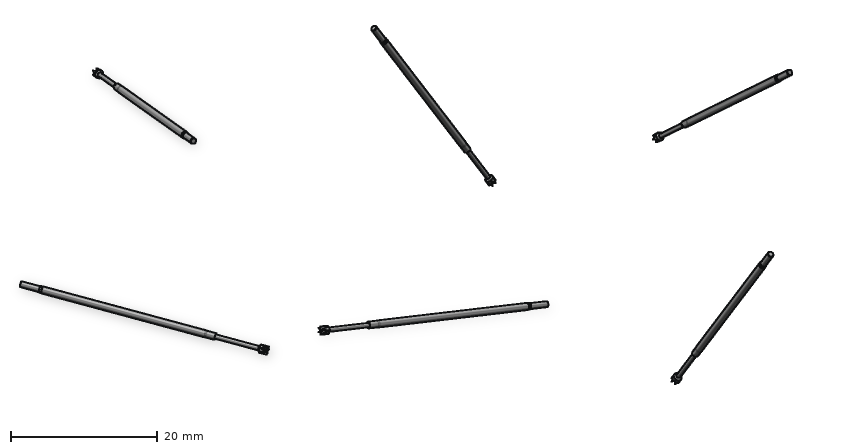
import cadquery as cq
import math

total_length = 35.81
head_diameter = 1.19

head_end = 1.11
neck_end = 1.34
collar_start = 7.60
collar_end = 8.90
barrel_start = 9.10
barrel_end = 32.64
shoulder_start = 32.71
shoulder_edge = 32.98
tail_start = 33.07
tail_chamfer = 0.06

plunger_diameter = 0.645
collar_diameter = 0.975
barrel_diameter = 1.02
shoulder_diameter = 0.96
tail_diameter = 0.86

tooth_count = 6
notch_depth = 1.00


def turned_body():
    """Solid of revolution for the head, plunger, collar, barrel and tail."""
    profile = [
        (0, 0),
        (0, head_diameter / 2),
        (head_end, head_diameter / 2),
        (neck_end, plunger_diameter / 2),
        (collar_start, plunger_diameter / 2),
        (collar_start, collar_diameter / 2),
        (collar_end, collar_diameter / 2),
        (barrel_start, barrel_diameter / 2),
        (barrel_end, barrel_diameter / 2),
        (shoulder_start, shoulder_diameter / 2),
        (shoulder_edge, shoulder_diameter / 2),
        (tail_start, tail_diameter / 2),
        (total_length - tail_chamfer, tail_diameter / 2),
        (total_length, tail_diameter / 2 - tail_chamfer),
        (total_length, 0),
    ]
    return cq.Workplane("XZ").polyline(profile).close().revolve(360, (0, 0, 0), (1, 0, 0))


def notch_cutter():
    """Tetrahedron along +Y, from the crown centre out past the head's rim."""
    overshoot = 2
    reach = overshoot * head_diameter / 2
    half_angle = math.pi / tooth_count
    centre = cq.Vector(0, 0, 0)
    upper_tip = cq.Vector(0, reach * math.cos(half_angle), reach * math.sin(half_angle))
    lower_tip = cq.Vector(0, reach * math.cos(half_angle), -reach * math.sin(half_angle))
    valley = cq.Vector(overshoot * notch_depth, reach, 0)
    triangles = [
        (centre, upper_tip, lower_tip),
        (centre, valley, upper_tip),
        (centre, lower_tip, valley),
        (upper_tip, valley, lower_tip),
    ]
    outlines = [cq.Wire.makePolygon(corners, close=True) for corners in triangles]
    faces = [cq.Face.makeFromWires(outline) for outline in outlines]
    return cq.Workplane(cq.Solid.makeSolid(cq.Shell.makeShell(faces)))


def cut_crown(body):
    """Cut the ring of notches that leaves the pointed teeth."""
    for i in range(tooth_count):
        angle = i * 360 / tooth_count
        body = body.cut(notch_cutter().rotate((0, 0, 0), (1, 0, 0), angle))
    return body


result = cut_crown(turned_body())